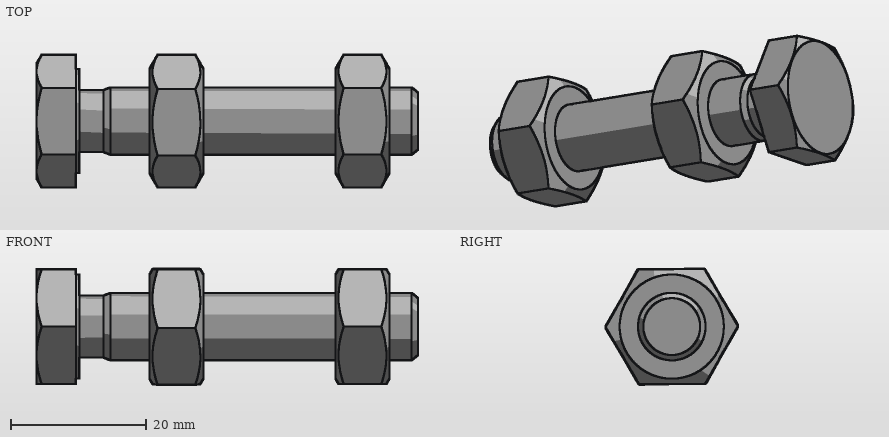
import cadquery as cq
import math

BOLT_LENGTH = 56.4
HEX_ACROSS_CORNERS = 19.6
CHAMFER_ANGLE = 30.0

HEAD_HEIGHT = 5.85
HEAD_FACE_DIAMETER = 16.85
COLLAR_DIAMETER = 15.4
COLLAR_END = 6.4
NECK_DIAMETER = 9.2
NECK_END = 9.9
SHANK_DIAMETER = 10.0
SHANK_START = 10.95
TIP_DIAMETER = 8.4
TIP_LENGTH = 0.95

NUT_HEIGHT = 8.0
NUT_FACE_DIAMETER = COLLAR_DIAMETER
NUT_PLACEMENTS = [(16.7, 1.2), (44.15, 0.0)]


def revolve_about_x(points):
    """Revolve an (X, radius) outline about the X axis."""
    return cq.Workplane("XY").polyline(points).close().revolve(360, (0, 0, 0), (1, 0, 0))


def chamfered_hexagon(height, face_diameter, chamfer_far_end):
    """Hexagonal prism from X = 0, corners on +/-Y, with conical corner chamfers."""
    corner_radius = HEX_ACROSS_CORNERS / 2
    face_radius = face_diameter / 2
    clear_radius = HEX_ACROSS_CORNERS
    slope = math.tan(math.radians(CHAMFER_ANGLE))
    clear_depth = (clear_radius - face_radius) * slope

    prism = cq.Workplane("YZ").polygon(6, 2 * corner_radius).extrude(height)
    near_cutter = revolve_about_x([
        (0, face_radius),
        (clear_depth, clear_radius),
        (0, clear_radius),
    ])
    hexagon = prism.cut(near_cutter)
    if chamfer_far_end:
        far_cutter = near_cutter.mirror("YZ").translate((height, 0, 0))
        hexagon = hexagon.cut(far_cutter)
    return hexagon


def make_bolt():
    """Hexagon head with a collar, an undercut neck and a shank with a tapered tip."""
    head = chamfered_hexagon(HEAD_HEIGHT, HEAD_FACE_DIAMETER, chamfer_far_end=False)
    stem = revolve_about_x([
        (HEAD_HEIGHT, 0),
        (HEAD_HEIGHT, COLLAR_DIAMETER / 2),
        (COLLAR_END, COLLAR_DIAMETER / 2),
        (COLLAR_END, NECK_DIAMETER / 2),
        (NECK_END, NECK_DIAMETER / 2),
        (SHANK_START, SHANK_DIAMETER / 2),
        (BOLT_LENGTH - TIP_LENGTH, SHANK_DIAMETER / 2),
        (BOLT_LENGTH, TIP_DIAMETER / 2),
        (BOLT_LENGTH, 0),
    ])
    return head.union(stem)


def make_nut(near_face_x, turn):
    """Hexagon nut chamfered at both ends, bored to fit the shank."""
    blank = chamfered_hexagon(NUT_HEIGHT, NUT_FACE_DIAMETER, chamfer_far_end=True)
    bore = cq.Workplane("YZ").circle(SHANK_DIAMETER / 2).extrude(NUT_HEIGHT)
    nut = blank.cut(bore)
    return nut.rotate((0, 0, 0), (1, 0, 0), turn).translate((near_face_x, 0, 0))


bolt = make_bolt()
nuts = [make_nut(near_face_x, turn) for near_face_x, turn in NUT_PLACEMENTS]

result = cq.Compound.makeCompound([bolt.val(), *[nut.val() for nut in nuts]])